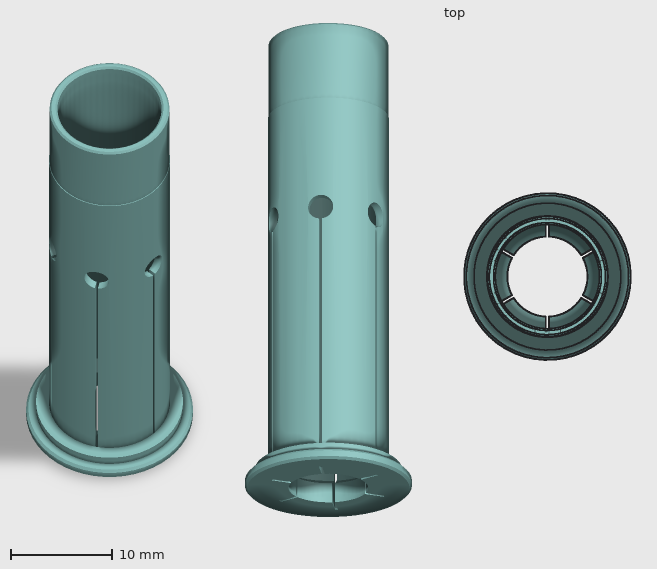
import cadquery as cq

height = 47.0
flange_diameter = 16.5
flange_height = 1.1
flange_chamfer = 0.25
collar_diameter = 14.5
collar_top = 2.0

body_diameter = 12.0
neck_diameter = 11.85
neck_length = 8.0
rim_chamfer = 0.2

bore_diameter = 10.3
throat_diameter = 7.9
throat_height = collar_top
taper_length = 0.7

slot_count = 6
slot_width = 0.3
relief_diameter = 2.5
relief_z = 27.5


def cylinder(diameter, bottom, top):
    return cq.Workplane("XY").workplane(offset=bottom).circle(diameter / 2).extrude(top - bottom)


def make_outside():
    flange = cylinder(flange_diameter, 0, flange_height).edges().chamfer(flange_chamfer)
    collar = cylinder(collar_diameter, 0, collar_top)
    body = cylinder(body_diameter, 0, height - neck_length)
    neck = cylinder(neck_diameter, 0, height).faces(">Z").edges().chamfer(rim_chamfer)
    return flange.union(collar).union(body).union(neck)


def make_bore():
    bore_radius = bore_diameter / 2
    throat_radius = throat_diameter / 2
    return (
        cq.Workplane("XZ")
        .moveTo(0, 0)
        .lineTo(throat_radius, 0)
        .lineTo(throat_radius, throat_height)
        .lineTo(bore_radius, throat_height + taper_length)
        .lineTo(bore_radius, height - rim_chamfer)
        .lineTo(bore_radius + rim_chamfer, height)
        .lineTo(0, height)
        .close()
        .revolve(360, (0, 0, 0), (0, 1, 0))
    )


def make_slots():
    """Slots and relief holes through the tube wall, leaving the flange and collar rings whole."""
    reach = body_diameter / 2
    slot = cq.Workplane("XY").box(reach, slot_width, relief_z, centered=(False, True, False))
    relief = cq.Workplane("YZ").center(0, relief_z).circle(relief_diameter / 2).extrude(body_diameter)
    cutter = slot.union(relief)
    slots = cq.Workplane("XY")
    for index in range(slot_count):
        angle = 90 + index * 360 / slot_count
        slots = slots.add(cutter.rotate((0, 0, 0), (0, 0, 1), angle))
    return slots.combine()


result = make_outside().cut(make_bore()).cut(make_slots())